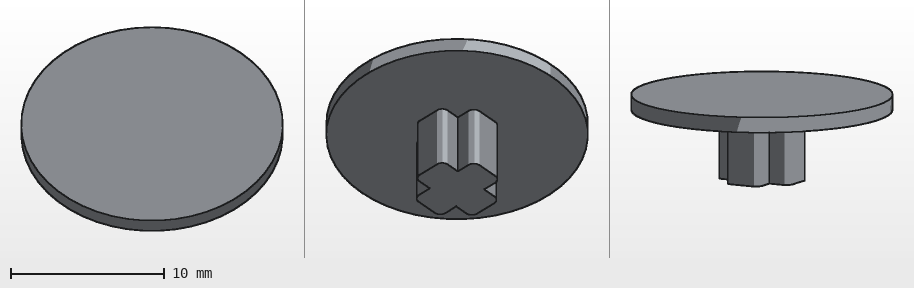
import cadquery as cq

disc_diameter = 17
disc_thickness = 1.0

total_height = 5.6
stem_length = total_height - disc_thickness
stem_span = 5.4
arm_width = 2.5
arm_corner_radius = 0.5


def cross_arm(size_x, size_y):
    """One bar of the cross, hanging below Z = 0, with rounded upright corners."""
    return (
        cq.Workplane("XY")
        .rect(size_x, size_y)
        .extrude(-stem_length)
        .edges("|Z")
        .fillet(arm_corner_radius)
    )


disc = cq.Workplane("XY").circle(disc_diameter / 2).extrude(disc_thickness)
stem = cross_arm(stem_span, arm_width).union(cross_arm(arm_width, stem_span))

result = disc.union(stem)